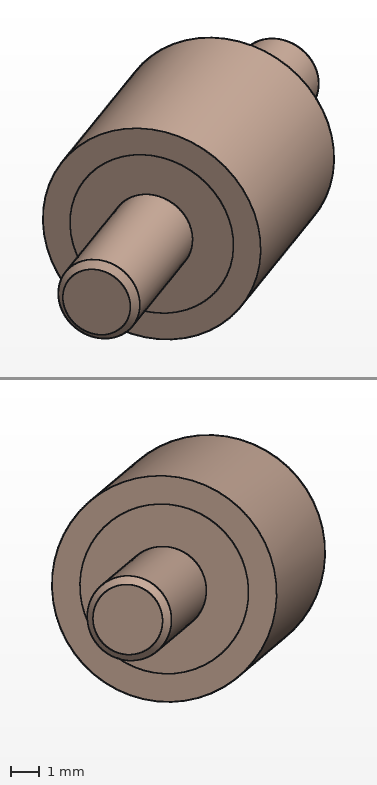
import cadquery as cq

overall_length = 20.0
buffer_diameter = 8.0
buffer_length = 8.0
flange_diameter = 6.0
flange_thickness = 1.0
stud_diameter = 3.0
tip_chamfer = 0.25

stud_length = (overall_length - buffer_length) / 2
buffer_end = buffer_length / 2


def cylinder_along_y(diameter, start, length, direction=1):
    """Cylinder on the Y axis, from Y = start, running towards +Y (1) or -Y (-1)."""
    return cq.Workplane(
        cq.Solid.makeCylinder(
            diameter / 2, length, cq.Vector(0, start, 0), cq.Vector(0, direction, 0)
        )
    )


def make_buffer():
    """Rubber cylinder with a recess in each end face for a stud flange."""
    buffer = cylinder_along_y(buffer_diameter, -buffer_end, buffer_length)
    for side in (-1, 1):
        recess = cylinder_along_y(flange_diameter, side * buffer_end, flange_thickness, -side)
        buffer = buffer.cut(recess)
    return buffer


def make_stud(side):
    """Stud with a chamfered tip and a flange set flush into the buffer end face."""
    tip_face = ">Y" if side > 0 else "<Y"
    shank = cylinder_along_y(stud_diameter, side * buffer_end, stud_length, side)
    shank = shank.faces(tip_face).chamfer(tip_chamfer)
    flange = cylinder_along_y(flange_diameter, side * buffer_end, flange_thickness, -side)
    return shank.union(flange)


rubber_buffer = make_buffer()
studs = [make_stud(side) for side in (-1, 1)]

result = cq.Compound.makeCompound([rubber_buffer.val(), *[stud.val() for stud in studs]])